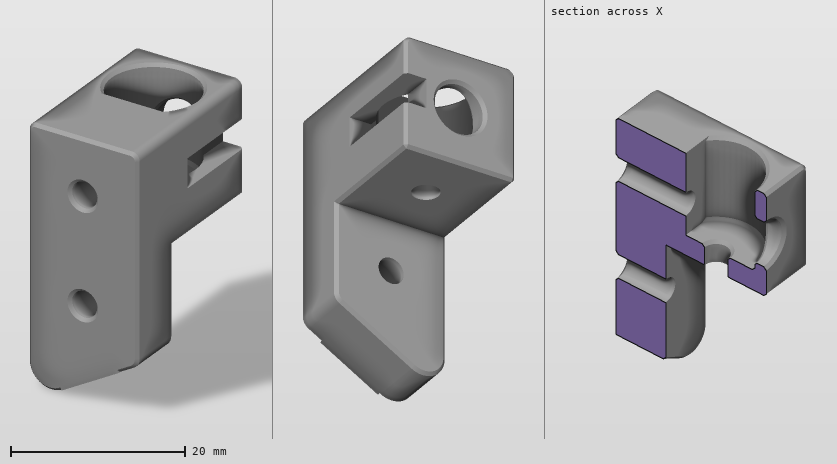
import cadquery as cq
import math

width = 15.0
total_depth = 22.5
total_height = 34.01
block_height = 15.0
plate_thickness = 7.5
edge_chamfer = 0.4

slope_angle = 30.0
toe_radius = 3.0
heel_radius = 1.5
top_corner_radius = 1.0

sharp_start_x = -2.9
sharp_length = 9.0

screw_diameter = 3.4
upper_screw_z = -block_height / 2
screw_pitch = 14.2

access_diameter = 6.5
access_inner_chamfer = 0.3

pocket_diameter = 11.5
pocket_y = (plate_thickness + total_depth) / 2
pocket_flat_y = 10.5
pocket_floor_z = -12.0

slot_inner_x = 4.6
slot_top_z = -5.1
slot_height = 3.9

half_width = width / 2
slope_radians = math.radians(slope_angle)
slope_gradient = math.tan(slope_radians)
toe_x = -half_width + toe_radius
toe_z = -total_height + toe_radius
slope_start_x = toe_x + toe_radius * math.sin(slope_radians)
slope_start_z = toe_z - toe_radius * math.cos(slope_radians)


def slope_z(x):
    """Height of the slanted lower edge at a given X."""
    return slope_start_z + (x - slope_start_x) * slope_gradient


def nearest(x, y, z):
    """Selector for the face or edge whose centre is nearest to a point."""
    return cq.selectors.NearestToPointSelector((x, y, z))


def plate_body():
    """Front plate with its rounded toe and heel, before chamfering."""
    heel_z = slope_z(half_width)
    plate = (
        cq.Workplane("XZ")
        .moveTo(-half_width, 0)
        .lineTo(half_width, 0)
        .lineTo(half_width, heel_z)
        .lineTo(slope_start_x, slope_start_z)
        .radiusArc((-half_width, toe_z), toe_radius)
        .close()
        .extrude(-plate_thickness)
    )
    return plate.edges(nearest(half_width, plate_thickness / 2, heel_z)).fillet(heel_radius)


def outer_body(plate):
    """Plate and block joined, with rounded top edges and chamfered rims."""
    block = cq.Workplane("XY").box(width, total_depth, block_height, centered=(True, False, False))
    body = plate.union(block.translate((0, 0, -block_height)))
    body = body.edges("|Y and >Z").fillet(top_corner_radius)

    lower_plate_z = -(block_height + total_height) / 2
    underside = body.faces(nearest(0, pocket_y, -block_height))
    plate_rear = body.faces(nearest(0, plate_thickness, lower_plate_z))
    rims = body.faces("<Y or >Y").add(underside).add(plate_rear).edges()

    inner_corner = body.edges(nearest(0, plate_thickness, -block_height)).val()
    rim_edges = [edge for edge in rims.vals() if not edge.isSame(inner_corner)]
    return body.newObject(rim_edges).chamfer(edge_chamfer)


def sharp_edge(plate):
    """Fill that restores the sharp middle stretch of the slanted front edge."""
    strip_height = 4 * edge_chamfer
    strip = (
        cq.Workplane("XY")
        .box(sharp_length, edge_chamfer, strip_height, centered=(False, False, True))
        .rotate((0, 0, 0), (0, 1, 0), -slope_angle)
        .translate((sharp_start_x, 0, slope_z(sharp_start_x)))
    )
    return plate.intersect(strip)


def hole(diameter, depth):
    """Cutting tool for a hole going down from Z = 0, with a chamfered mouth."""
    radius = diameter / 2
    bore = cq.Workplane("XY").circle(radius).extrude(-depth)
    mouth = cq.Solid.makeCone(radius, radius + edge_chamfer, edge_chamfer)
    return bore.union(cq.Workplane(mouth).translate((0, 0, -edge_chamfer)))


def facing_front(tool):
    """Turn a downward tool so that its mouth faces -Y."""
    return tool.rotate((0, 0, 0), (1, 0, 0), 90)


def facing_back(tool):
    """Turn a downward tool so that its mouth faces +Y."""
    return tool.rotate((0, 0, 0), (1, 0, 0), -90)


def pocket():
    """Cutting tool for the D-shaped pocket, chamfered at its mouth and floor."""
    round_pocket = hole(pocket_diameter, -pocket_floor_z).faces("<Z").chamfer(edge_chamfer)
    flat_limit = cq.Workplane("XY").box(width, total_depth, 2 * block_height, centered=(True, False, True))
    return round_pocket.translate((0, pocket_y, 0)).intersect(flat_limit.translate((0, pocket_flat_y, 0)))


def cut_access_hole(body):
    """Cut the back access hole and chamfer its edge inside the pocket."""
    tool = facing_back(hole(access_diameter, total_depth - pocket_y))
    body = body.cut(tool.translate((0, total_depth, upper_screw_z)))
    pocket_back_y = pocket_y + pocket_diameter / 2
    inner_edge = cq.selectors.BoxSelector(
        (-half_width, pocket_y, upper_screw_z - half_width / 2),
        (half_width, pocket_back_y + edge_chamfer, upper_screw_z + half_width / 2),
        boundingbox=True,
    )
    return body.edges(inner_edge).chamfer(access_inner_chamfer)


def side_slot():
    """Cutting tool for the slot through the +X back corner of the block."""
    slot_depth = total_depth - pocket_flat_y
    slot = cq.Workplane("XY").box(half_width, slot_depth, slot_height, centered=False)
    return slot.translate((slot_inner_x, pocket_flat_y, slot_top_z - slot_height))


base_plate = plate_body()
result = outer_body(base_plate).union(sharp_edge(base_plate))
result = result.cut(pocket())
for screw_z in (upper_screw_z, upper_screw_z - screw_pitch):
    result = result.cut(facing_front(hole(screw_diameter, pocket_y)).translate((0, 0, screw_z)))
result = result.cut(hole(screw_diameter, block_height).translate((0, pocket_y, pocket_floor_z)))
result = cut_access_hole(result)
result = result.cut(side_slot())